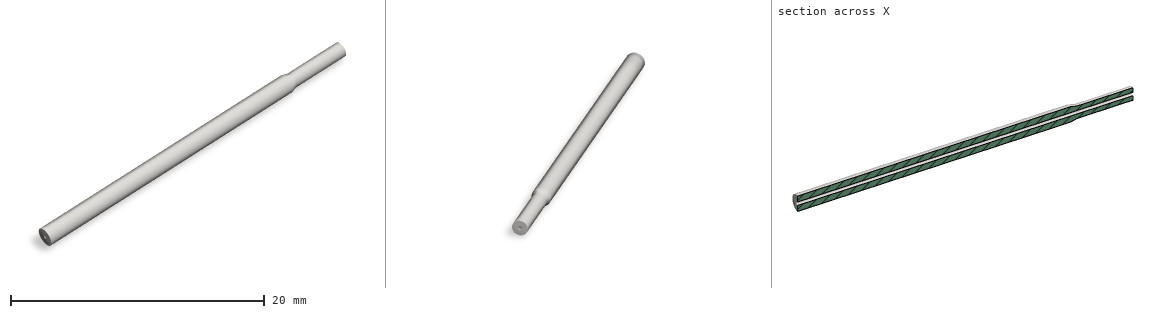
import cadquery as cq

total_length = 30.0
body_diameter = 1.6
shank_diameter = 1.3
bore_diameter = 0.3
shank_length = 5.0
taper_length = 0.55

body_length = total_length - shank_length - taper_length
body_radius = body_diameter / 2
shank_radius = shank_diameter / 2
bore_radius = bore_diameter / 2

front_y = -total_length / 2
back_y = total_length / 2
taper_start_y = front_y + body_length
taper_end_y = taper_start_y + taper_length

half_section = (
    cq.Workplane("XY")
    .moveTo(bore_radius, front_y)
    .lineTo(body_radius, front_y)
    .lineTo(body_radius, taper_start_y)
    .lineTo(shank_radius, taper_end_y)
    .lineTo(shank_radius, back_y)
    .lineTo(bore_radius, back_y)
    .close()
)

result = half_section.revolve(360, (0, 0, 0), (0, 1, 0))